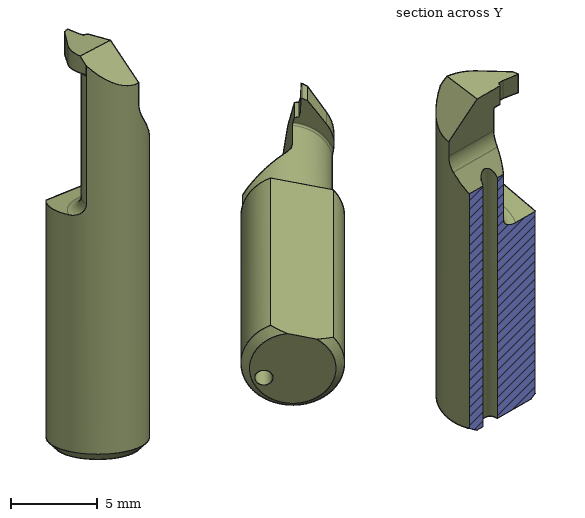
import cadquery as cq
import math

total_length = 25.0
shank_radius = 3.0
shank_length = 15.0
flat_x = -2.35
end_chamfer = 0.5

neck_left_x = -0.38
neck_radius = 2.92
neck_center_x = neck_left_x + neck_radius
neck_root_fillet = 0.8

head_height = 1.5
head_root_fillet = 0.12
rake_y = 0.1
relief_angle = 4.7
bevel_start_x = 0.88
bevel_angle = 45.0
tip_x = -2.28
tip_y = 0.02
head_end_x = 1.35
head_end_y = -math.sqrt(shank_radius**2 - head_end_x**2)

runout_z = 21.1
runout_angle = 40.0
runout_fillet = 1.6

hole_x = 1.02
hole_y = 1.48
hole_diameter = 1.05

block_size = 4 * shank_radius


def make_shank_envelope():
    """Full-length round bar with a chamfered lower end and a side flat."""
    bar = cq.Workplane("XY").circle(shank_radius).extrude(total_length)
    bar = bar.faces("<Z").chamfer(end_chamfer)
    flat_cutter = cq.Workplane("XY").box(
        block_size, block_size, total_length, centered=(False, True, False)
    ).translate((flat_x - block_size, 0, 0))
    return bar.cut(flat_cutter)


def make_neck_cylinder():
    """Eccentric cylinder that the neck is cut from."""
    return (
        cq.Workplane("XY", origin=(neck_center_x, 0, shank_length))
        .circle(neck_radius)
        .extrude(total_length - shank_length)
    )


def make_shank_and_neck():
    """Bar turned down to the eccentric neck, with a fillet at its root."""
    base = cq.Workplane("XY").rect(2 * block_size, 2 * block_size).extrude(shank_length)
    stepped = base.union(make_neck_cylinder())
    root_edge = cq.selectors.BoxSelector(
        (-shank_radius, -shank_radius, shank_length - 0.25),
        (2 * block_size, shank_radius, shank_length + 0.25),
    )
    stepped = stepped.edges("%CIRCLE").edges(root_edge).fillet(neck_root_fillet)
    return stepped.intersect(make_shank_envelope())


def make_runout_cutter():
    """Space behind the rake face, sloping out to the back of the neck."""
    runout_width = 2 * shank_radius
    runout_drop = runout_width / math.tan(math.radians(runout_angle))
    cutter = (
        cq.Workplane("YZ")
        .moveTo(rake_y, total_length)
        .lineTo(rake_y, runout_z)
        .lineTo(rake_y + runout_width, runout_z - runout_drop)
        .lineTo(rake_y + runout_width, total_length)
        .close()
        .extrude(shank_radius, both=True)
    )
    root = cq.selectors.NearestToPointSelector((0, rake_y, runout_z))
    return cutter.edges("|X").edges(root).fillet(runout_fillet)


def tilt(body, z, angle):
    """Tilt a body about the rake-face line at height z."""
    return body.rotate((0, rake_y, z), (1, rake_y, z), angle)


def make_head():
    """Hooked cutting head with a chip groove and relieved underside."""
    groove_start = (-0.85, rake_y)
    groove_depth_point = (-0.95, -0.15)
    groove_end = (-1.28, -0.15)
    tip_land_end = (tip_x, -0.05)
    heel = (-2.18, -0.38)
    flank_end = (-0.7, -1.85)
    head_bottom = total_length - head_height
    outline = (
        cq.Workplane("XY", origin=(0, 0, shank_length))
        .moveTo(head_end_x, rake_y)
        .lineTo(*groove_start)
        .lineTo(*groove_depth_point)
        .lineTo(*groove_end)
        .lineTo(tip_x, tip_y)
        .lineTo(*tip_land_end)
        .lineTo(*heel)
        .lineTo(*flank_end)
        .tangentArcPoint((head_end_x, head_end_y), relative=False)
        .close()
        .extrude(total_length - shank_length)
    )
    slab = cq.Workplane("XY", origin=(0, 0, head_bottom)).rect(
        2 * block_size, 2 * block_size
    ).extrude(block_size)
    slab = tilt(slab, head_bottom, -relief_angle)
    stepped = make_neck_cylinder().union(slab)
    stepped = stepped.edges("%ELLIPSE").fillet(head_root_fillet)
    return stepped.intersect(outline)


def make_top_cutter():
    """Relieved end face continued by a bevel at the back of the head."""
    bevel_run = block_size
    bevel_drop = bevel_run * math.tan(math.radians(bevel_angle))
    cutter = (
        cq.Workplane("XZ")
        .moveTo(-block_size, total_length)
        .lineTo(bevel_start_x, total_length)
        .lineTo(bevel_start_x + bevel_run, total_length - bevel_drop)
        .lineTo(bevel_start_x + bevel_run, total_length + block_size)
        .lineTo(-block_size, total_length + block_size)
        .close()
        .extrude(block_size, both=True)
    )
    return tilt(cutter, total_length, relief_angle)


coolant_hole = (
    cq.Workplane("XY", origin=(hole_x, hole_y, 0))
    .circle(hole_diameter / 2)
    .extrude(total_length)
)

result = (
    make_shank_and_neck()
    .cut(make_runout_cutter())
    .union(make_head())
    .cut(make_top_cutter())
    .cut(coolant_hole)
)